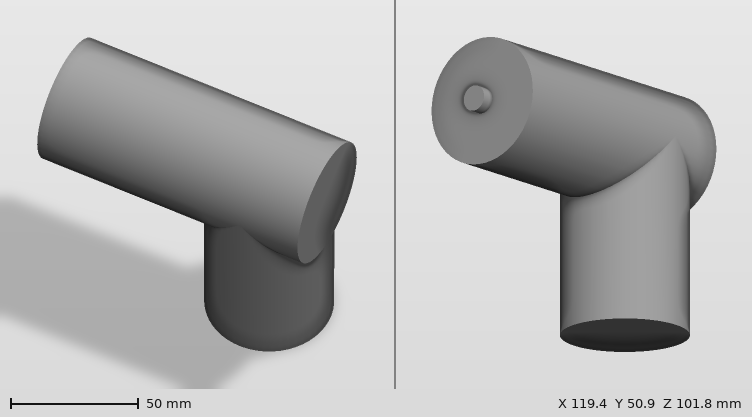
import cadquery as cq

overall_length = 119.4
overall_height = 101.8
tube_diameter = 50.9
pin_diameter = 10.1
pin_length = 5.1

tube_radius = tube_diameter / 2
barrel_length = overall_length - pin_length
leg_axis_x = barrel_length - tube_radius
leg_length = overall_height - tube_radius


def make_barrel():
    """Horizontal cylinder, turned so that its seam line runs along the top."""
    barrel = cq.Workplane("YZ").circle(tube_radius).extrude(barrel_length)
    return barrel.rotate((0, 0, 0), (1, 0, 0), 90)


def make_leg():
    """Vertical cylinder from the barrel axis down, flush with the barrel's far end.

    Its seam line faces the pin side, away from the flush end.
    """
    leg = cq.Workplane("XY").circle(tube_radius).extrude(-leg_length)
    return leg.rotate((0, 0, 0), (0, 0, 1), 180).translate((leg_axis_x, 0, 0))


def make_pin():
    """Small cylinder centred on the barrel's end face."""
    return cq.Workplane("YZ").circle(pin_diameter / 2).extrude(-pin_length)


result = make_barrel().union(make_leg()).union(make_pin())